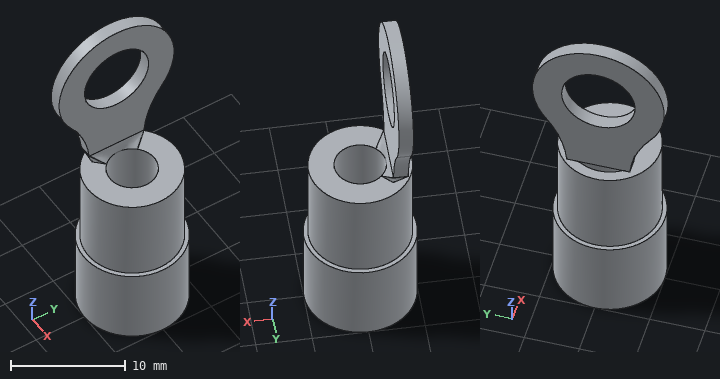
import cadquery as cq
import math

total_height = 31.8
sleeve_diameter = 10.0
sleeve_height = 7.82
barrel_diameter = 9.2
barrel_top = 16.45
bore_diameter = 4.58

ring_diameter = 12.0
ring_hole_diameter = 6.65
metal_thickness = 1.3
tongue_outer_x = -3.8
tongue_bottom = 17.4
tongue_base_width = 5.72
flare_drop = 3.7

neck_half_angle = 45.0

ring_radius = ring_diameter / 2
ring_center_z = total_height - ring_radius
bore_radius = bore_diameter / 2


def make_body():
    """Insulating sleeve and barrel with a through bore."""
    sleeve = cq.Workplane("XY").circle(sleeve_diameter / 2).extrude(sleeve_height)
    barrel = cq.Workplane("XY").circle(barrel_diameter / 2).extrude(barrel_top)
    bore = cq.Workplane("XY").circle(bore_radius).extrude(barrel_top)
    return sleeve.union(barrel).cut(bore)


def make_tongue():
    """Ring whose lower sides flare tangentially into a narrow base."""
    flare_y = math.sqrt(ring_radius**2 - flare_drop**2)
    flare_z = ring_center_z - flare_drop
    half_outline = (
        cq.Workplane("YZ", origin=(tongue_outer_x, 0, 0))
        .moveTo(0, total_height)
        .threePointArc((ring_radius, ring_center_z), (flare_y, flare_z))
        .tangentArcPoint((tongue_base_width / 2, tongue_bottom), relative=False)
        .lineTo(0, tongue_bottom)
        .close()
    )
    half = half_outline.extrude(metal_thickness)
    hole = (
        cq.Workplane("YZ", origin=(tongue_outer_x, 0, 0))
        .center(0, ring_center_z)
        .circle(ring_hole_diameter / 2)
        .extrude(metal_thickness)
    )
    return half.union(half.mirror("XZ")).cut(hole)


def make_neck():
    """Blend from a curved section along the bore to the flat tongue base."""
    outer_radius = bore_radius + metal_thickness
    cosine = math.cos(math.radians(neck_half_angle))
    sine = math.sin(math.radians(neck_half_angle))
    half_width = tongue_base_width / 2
    tongue_inner_x = tongue_outer_x + metal_thickness
    return (
        cq.Workplane("XY", origin=(0, 0, barrel_top))
        .moveTo(-outer_radius * cosine, -outer_radius * sine)
        .threePointArc((-outer_radius, 0), (-outer_radius * cosine, outer_radius * sine))
        .lineTo(-bore_radius * cosine, bore_radius * sine)
        .threePointArc((-bore_radius, 0), (-bore_radius * cosine, -bore_radius * sine))
        .close()
        .workplane(offset=tongue_bottom - barrel_top)
        .moveTo(tongue_outer_x, -half_width)
        .lineTo(tongue_outer_x, half_width)
        .lineTo(tongue_inner_x, half_width)
        .lineTo(tongue_inner_x, -half_width)
        .close()
        .loft(ruled=True, combine=True)
    )


result = make_body().union(make_neck()).union(make_tongue())